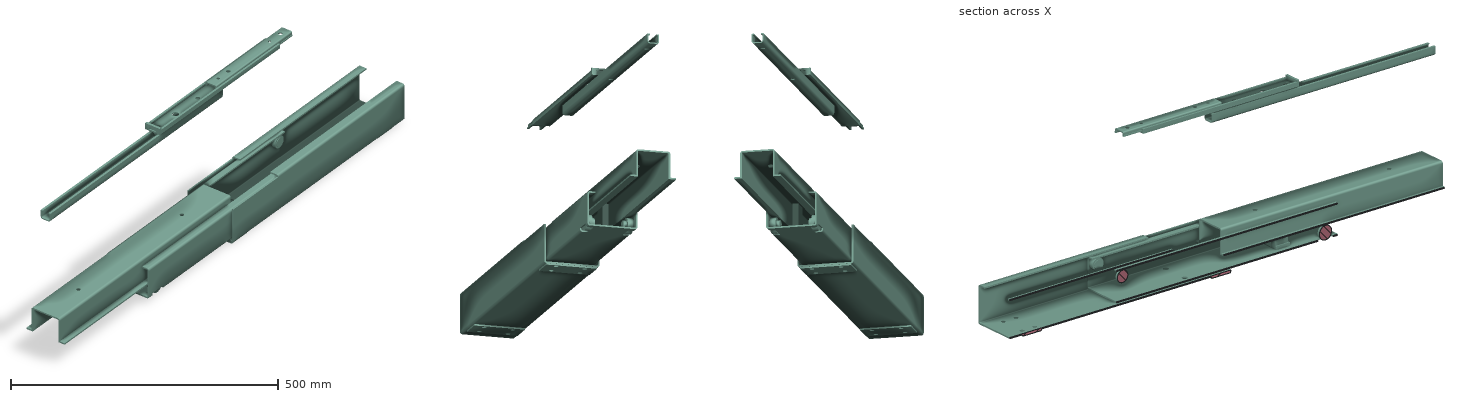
import cadquery as cq

RAIL_LENGTH = 530.0
SHEET = 3.0
BEND_RADIUS = 4.7
REAR_Y = 521.0
FRONT_Y = -521.0

OUTER_HALF_WIDTH = 54.0
OUTER_BOTTOM = 3.0
OUTER_TOP = 83.0
OUTER_LIP_EDGE = 35.0
OUTER_LIP_END_Y = 129.0
OUTER_PAD_LENGTH = 47.0
OUTER_PAD_YS = (467.0, 15.0)
OUTER_HOLE_DIAMETER = 9.0
OUTER_HOLE_PITCH = 30.0
FLOOR_HOLE_X = 28.0

MIDDLE_HALF_WIDTH = 49.0
MIDDLE_BOTTOM = 9.0
MIDDLE_TOP = 76.0
MIDDLE_LIP_EDGE = 33.0
MIDDLE_HOLE_DIAMETER = 11.0
MIDDLE_HOLE_Y = 93.0
ROLLER_INNER_X = 34.0
ROLLER_HUB_DIAMETER = 19.0
REAR_ROLLER_DIAMETER = 26.0
REAR_ROLLER_Y = 250.0
REAR_HUB_INNER_X = 33.0
FRONT_ROLLER_DIAMETER = 30.0
FRONT_ROLLER_Y = -235.0
FRONT_ROLLER_Z = 23.0
FRONT_HUB_INNER_X = 28.0
ROLLER_SLOT_LENGTH = 35.0
ROLLER_SLOT_TOP = 17.0

INNER_HALF_WIDTH = 33.0
INNER_FLANGE_HALF_WIDTH = 45.0
INNER_BOTTOM = 39.0
INNER_TOP = 92.0
INNER_HOLE_DIAMETER = 8.5
INNER_COLLAR_DIAMETER = 11.0
INNER_COLLAR_HEIGHT = 3.0
INNER_HOLE_YS = (-98.0, -419.0)

BRACKET_INNER_X = 15.0
BRACKET_OUTER_X = 26.0
BRACKET_FOOT_OUTER_X = 29.0
BRACKET_BASE_THICKNESS = 2.0
BRACKET_FOOT_TOP = 20.0
BRACKET_TOP = 85.0
BRACKET_LENGTH = 31.0
BRACKET_FOOT_OVERHANG = 2.0
BRACKET_REAR_Y = -125.0

GUIDE_REAR_Y = 14.0
GUIDE_HALF_WIDTH = 11.0
GUIDE_SHEET = 2.0
GUIDE_BOTTOM = 299.0
GUIDE_TOP = 318.0
GUIDE_SLOT_HALF_WIDTH = 6.8
GUIDE_BOTTOM_RADIUS = 5.0
GUIDE_HOLE_DIAMETER = 9.5
GUIDE_HOLE_YS = (-255.0, -481.0)

CARRIAGE_REAR_Y = 183.0
CARRIAGE_LENGTH = 373.0
CARRIAGE_HALF_WIDTH = 17.2
CARRIAGE_SHEET = 2.6
CARRIAGE_BOTTOM = 324.0
CARRIAGE_TOP = 333.0
CARRIAGE_LIP_EDGE = 13.0
CARRIAGE_HOLE_DIAMETER = 14.0
CARRIAGE_HOLE_Y = -118.0
STUD_DIAMETER = 11.0
STUD_HEAD_DIAMETER = 18.0
STUD_HEAD_BOTTOM = 306.0
STUD_HEAD_TOP = 312.0
STUD_SOCKET_DIAMETER = 8.7
STUD_SOCKET_DEPTH = 2.0
STUD_YS = (-49.0, -171.0)
STOP_THICKNESS = 5.0
STOP_TOP = 337.0
STOP_RECESS_DEPTH = 2.0
STOP_RECESS_BOTTOM = 327.0
STOP_RECESS_TOP = CARRIAGE_TOP
STOP_FOOT_HALF_WIDTH = 7.8
STOP_FOOT_LENGTH = 8.9
STOP_FOOT_HEIGHT = 1.0

SLIDE_REAR_Y = 227.0
SLIDE_LENGTH = 235.0
SLIDE_HALF_WIDTH = 12.0
SLIDE_FLANGE_HALF_WIDTH = 14.1
SLIDE_SHEET = 2.6
SLIDE_BOTTOM = 328.0
SLIDE_TOP = STOP_TOP
SLIDE_BEND_RADIUS = 2.8
SLIDE_LARGE_HOLE_DIAMETER = 8.5
SLIDE_SMALL_HOLE_DIAMETER = 6.0
SLIDE_LARGE_HOLE_YS = (207.0, 46.0)
SLIDE_SMALL_HOLE_YS = (174.0, 15.0)


def box(x_range, y_range, z_range):
    """Box between the given limits."""
    (x0, x1), (y0, y1), (z0, z1) = x_range, y_range, z_range
    return cq.Workplane("XY").box(x1 - x0, y1 - y0, z1 - z0, centered=False).translate((x0, y0, z0))


def rounded_bar(half_width, bottom, top, rear_y, length, radius, rounded_edges):
    """Bar along Y, centred on X = 0, with the chosen lengthwise edges rounded."""
    bar = box((-half_width, half_width), (rear_y - length, rear_y), (bottom, top))
    return bar.edges("|Y").edges(rounded_edges).fillet(radius)


def channel(half_width, bottom, top, rear_y, length, radius, sheet, rounded_edges):
    """Rounded bar hollowed along its whole length to a closed tube of even wall thickness."""
    outside = rounded_bar(half_width, bottom, top, rear_y, length, radius, rounded_edges)
    inside = rounded_bar(
        half_width - sheet, bottom + sheet, top - sheet, rear_y, length, radius - sheet, rounded_edges
    )
    return outside.cut(inside)


def lipped_channel(half_width, bottom, top, rear_y, length, lip_edge, radius, sheet, rounded_edges):
    """Sheet-metal channel open upwards between two inward lips."""
    tube = channel(half_width, bottom, top, rear_y, length, radius, sheet, rounded_edges)
    opening = box((-lip_edge, lip_edge), (rear_y - length, rear_y), (top - sheet, top))
    return tube.cut(opening)


def hat_section(half_width, flange_half_width, bottom, top, rear_y, length, radius, sheet):
    """Sheet-metal channel open downwards, with an outward flange along each lower edge."""
    hat = channel(half_width, bottom, top, rear_y, length, radius, sheet, ">Z")
    y_range = (rear_y - length, rear_y)
    z_range = (bottom, bottom + sheet)
    inner_x = half_width - sheet
    hat = hat.union(box((-flange_half_width, flange_half_width), y_range, z_range))
    return hat.cut(box((-inner_x, inner_x), y_range, z_range))


def vertical_cylinder(diameter, x, y, bottom, top):
    """Upright cylinder between two heights."""
    return cq.Workplane("XY", origin=(x, y, bottom)).circle(diameter / 2).extrude(top - bottom)


def make_outer_rail():
    rail = lipped_channel(
        OUTER_HALF_WIDTH,
        OUTER_BOTTOM,
        OUTER_TOP,
        REAR_Y,
        RAIL_LENGTH,
        OUTER_LIP_EDGE,
        BEND_RADIUS,
        SHEET,
        "<Z or >Z",
    )
    lip_cut = box(
        (-OUTER_HALF_WIDTH, OUTER_HALF_WIDTH),
        (REAR_Y - RAIL_LENGTH, OUTER_LIP_END_Y),
        (OUTER_TOP - BEND_RADIUS, OUTER_TOP),
    )
    rail = rail.cut(lip_cut)
    pad_half_width = OUTER_HALF_WIDTH - BEND_RADIUS
    for pad_y in OUTER_PAD_YS:
        pad = box(
            (-pad_half_width, pad_half_width),
            (pad_y - OUTER_PAD_LENGTH / 2, pad_y + OUTER_PAD_LENGTH / 2),
            (0, OUTER_BOTTOM),
        )
        rail = rail.union(pad)
        for x in (-FLOOR_HOLE_X, FLOOR_HOLE_X):
            for y in (pad_y - OUTER_HOLE_PITCH / 2, pad_y + OUTER_HOLE_PITCH / 2):
                rail = rail.cut(vertical_cylinder(OUTER_HOLE_DIAMETER, x, y, 0, OUTER_BOTTOM + SHEET))
    return rail


def make_roller(side, diameter, y, z, hub_inner_x):
    """Roller with a protruding hub, axle along X, seated on the inside of one wall of the middle rail."""
    wall_x = MIDDLE_HALF_WIDTH - SHEET
    axle = cq.Workplane("YZ", origin=(side * wall_x, y, z))
    wheel = axle.circle(diameter / 2).extrude(-side * (wall_x - ROLLER_INNER_X))
    hub = axle.circle(ROLLER_HUB_DIAMETER / 2).extrude(-side * (wall_x - hub_inner_x))
    return wheel.union(hub)


def make_middle_rail():
    rail = lipped_channel(
        MIDDLE_HALF_WIDTH,
        MIDDLE_BOTTOM,
        MIDDLE_TOP,
        RAIL_LENGTH / 2,
        RAIL_LENGTH,
        MIDDLE_LIP_EDGE,
        BEND_RADIUS,
        SHEET,
        "<Z or >Z",
    )
    rear_roller_z = MIDDLE_TOP - SHEET - REAR_ROLLER_DIAMETER / 2
    for side in (-1, 1):
        hole_x = side * FLOOR_HOLE_X
        rail = rail.cut(
            vertical_cylinder(
                MIDDLE_HOLE_DIAMETER, hole_x, MIDDLE_HOLE_Y, MIDDLE_BOTTOM, MIDDLE_BOTTOM + SHEET
            )
        )
        slot_x = sorted((side * ROLLER_INNER_X, side * MIDDLE_HALF_WIDTH))
        slot = box(
            slot_x,
            (FRONT_ROLLER_Y - ROLLER_SLOT_LENGTH / 2, FRONT_ROLLER_Y + ROLLER_SLOT_LENGTH / 2),
            (MIDDLE_BOTTOM, ROLLER_SLOT_TOP),
        )
        rail = rail.cut(slot)
        front_roller = make_roller(
            side, FRONT_ROLLER_DIAMETER, FRONT_ROLLER_Y, FRONT_ROLLER_Z, FRONT_HUB_INNER_X
        )
        rear_roller = make_roller(
            side, REAR_ROLLER_DIAMETER, REAR_ROLLER_Y, rear_roller_z, REAR_HUB_INNER_X
        )
        rail = rail.union(front_roller).union(rear_roller)
    return rail


def make_inner_rail():
    rail = hat_section(
        INNER_HALF_WIDTH,
        INNER_FLANGE_HALF_WIDTH,
        INNER_BOTTOM,
        INNER_TOP,
        FRONT_Y + RAIL_LENGTH,
        RAIL_LENGTH,
        BEND_RADIUS,
        SHEET,
    )
    underside = INNER_TOP - SHEET
    for y in INNER_HOLE_YS:
        collar_bottom = underside - INNER_COLLAR_HEIGHT
        rail = rail.union(vertical_cylinder(INNER_COLLAR_DIAMETER, 0, y, collar_bottom, underside))
        rail = rail.cut(vertical_cylinder(INNER_HOLE_DIAMETER, 0, y, collar_bottom, INNER_TOP))
    return rail


def make_bracket():
    """U-shaped bracket: a thin base and two upright blocks, each wider at its foot."""
    floor = MIDDLE_BOTTOM + SHEET
    y_range = (BRACKET_REAR_Y - BRACKET_LENGTH, BRACKET_REAR_Y)
    foot_y = (y_range[0] - BRACKET_FOOT_OVERHANG, y_range[1])
    bracket = box(
        (-BRACKET_FOOT_OUTER_X, BRACKET_FOOT_OUTER_X), y_range, (floor, floor + BRACKET_BASE_THICKNESS)
    )
    for side in (-1, 1):
        foot_x = sorted((side * BRACKET_INNER_X, side * BRACKET_FOOT_OUTER_X))
        upright_x = sorted((side * BRACKET_INNER_X, side * BRACKET_OUTER_X))
        bracket = bracket.union(box(foot_x, foot_y, (floor, BRACKET_FOOT_TOP)))
        bracket = bracket.union(box(upright_x, y_range, (BRACKET_FOOT_TOP, BRACKET_TOP)))
    return bracket


def make_guide_rail():
    rail = lipped_channel(
        GUIDE_HALF_WIDTH,
        GUIDE_BOTTOM,
        GUIDE_TOP,
        GUIDE_REAR_Y,
        GUIDE_REAR_Y - FRONT_Y,
        GUIDE_SLOT_HALF_WIDTH,
        GUIDE_BOTTOM_RADIUS,
        GUIDE_SHEET,
        "<Z",
    )
    for y in GUIDE_HOLE_YS:
        rail = rail.cut(
            vertical_cylinder(GUIDE_HOLE_DIAMETER, 0, y, GUIDE_BOTTOM, GUIDE_BOTTOM + GUIDE_SHEET)
        )
    return rail


def make_carriage():
    floor = CARRIAGE_BOTTOM + CARRIAGE_SHEET
    front_y = CARRIAGE_REAR_Y - CARRIAGE_LENGTH
    carriage = box(
        (-CARRIAGE_HALF_WIDTH, CARRIAGE_HALF_WIDTH),
        (front_y, CARRIAGE_REAR_Y),
        (CARRIAGE_BOTTOM, CARRIAGE_TOP),
    )
    inner_x = CARRIAGE_HALF_WIDTH - CARRIAGE_SHEET
    cavity = box((-inner_x, inner_x), (front_y, CARRIAGE_REAR_Y), (floor, CARRIAGE_TOP - CARRIAGE_SHEET))
    opening = box(
        (-CARRIAGE_LIP_EDGE, CARRIAGE_LIP_EDGE), (front_y, CARRIAGE_REAR_Y), (floor, CARRIAGE_TOP)
    )
    carriage = carriage.cut(cavity).cut(opening)
    carriage = carriage.cut(
        vertical_cylinder(CARRIAGE_HOLE_DIAMETER, 0, CARRIAGE_HOLE_Y, CARRIAGE_BOTTOM, floor)
    )

    stop_rear_y = front_y + STOP_THICKNESS
    foot_x = (-STOP_FOOT_HALF_WIDTH, STOP_FOOT_HALF_WIDTH)
    stop = box((-CARRIAGE_HALF_WIDTH, CARRIAGE_HALF_WIDTH), (front_y, stop_rear_y), (floor, STOP_TOP))
    foot = box(foot_x, (stop_rear_y, stop_rear_y + STOP_FOOT_LENGTH), (floor, floor + STOP_FOOT_HEIGHT))
    recess = box(
        foot_x, (front_y, front_y + STOP_RECESS_DEPTH), (STOP_RECESS_BOTTOM, STOP_RECESS_TOP)
    )
    carriage = carriage.union(stop).union(foot).cut(recess)

    for y in STUD_YS:
        shank = vertical_cylinder(STUD_DIAMETER, 0, y, STUD_HEAD_TOP, floor)
        head = vertical_cylinder(STUD_HEAD_DIAMETER, 0, y, STUD_HEAD_BOTTOM, STUD_HEAD_TOP)
        socket = vertical_cylinder(STUD_SOCKET_DIAMETER, 0, y, floor - STUD_SOCKET_DEPTH, floor)
        carriage = carriage.union(shank).union(head).cut(socket)
    return carriage


def make_slide():
    """Hat section held under the lips of the carriage, with a row of holes in its top."""
    slide = hat_section(
        SLIDE_HALF_WIDTH,
        SLIDE_FLANGE_HALF_WIDTH,
        SLIDE_BOTTOM,
        SLIDE_TOP,
        SLIDE_REAR_Y,
        SLIDE_LENGTH,
        SLIDE_BEND_RADIUS,
        SLIDE_SHEET,
    )
    for diameter, ys in (
        (SLIDE_LARGE_HOLE_DIAMETER, SLIDE_LARGE_HOLE_YS),
        (SLIDE_SMALL_HOLE_DIAMETER, SLIDE_SMALL_HOLE_YS),
    ):
        for y in ys:
            slide = slide.cut(vertical_cylinder(diameter, 0, y, SLIDE_TOP - SLIDE_SHEET, SLIDE_TOP))
    return slide


outer_rail = make_outer_rail()
middle_rail = make_middle_rail()
inner_rail = make_inner_rail()
bracket = make_bracket()
guide_rail = make_guide_rail()
carriage = make_carriage()
slide = make_slide()

result = cq.Compound.makeCompound(
    [
        outer_rail.val(),
        middle_rail.val(),
        inner_rail.val(),
        bracket.val(),
        guide_rail.val(),
        carriage.val(),
        slide.val(),
    ]
)